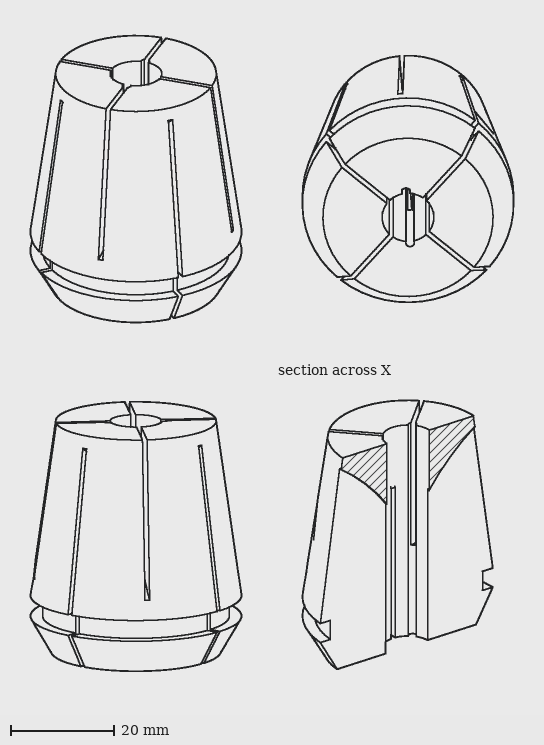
import cadquery as cq
import math

height = 46.0
max_radius = 20.5
top_radius = 15.6
nose_radius = 16.5

groove_radius = 18.12
groove_bottom = 7.0
groove_top = 11.15

bore_radius = 5.0
relief_radius = 0.85
relief_offset = 5.3
relief_angles = (135, 315)

slot_width = 0.9
slot_reach = 23.0
end_arc_sagitta = 0.65
nose_slot_outer_z = 43.5
nose_slot_inner_z = 32.75
top_slot_outer_z = 15.0
top_slot_inner_z = 19.85
slot_count = 4
slot_spacing = 360 / slot_count


def taper_radius(z):
    """Radius of the long taper at height z."""
    fraction = (z - groove_top) / (height - groove_top)
    return max_radius + fraction * (top_radius - max_radius)


def revolved_body():
    return (
        cq.Workplane("XZ")
        .polyline([
            (0, 0),
            (nose_radius, 0),
            (max_radius, groove_bottom),
            (groove_radius, groove_bottom),
            (groove_radius, groove_top),
            (max_radius, groove_top),
            (top_radius, height),
            (0, height),
        ])
        .close()
        .revolve(360, (0, 0), (0, 1))
    )


def slot_cutter(open_z, inner_z, outer_z):
    """Radial slot along +X, open at open_z, with a curved saw run-out at its closed end."""
    outer_r = taper_radius(outer_z)
    run = outer_r - bore_radius
    rise = outer_z - inner_z
    chord = math.hypot(run, rise)
    bow_z = math.copysign(end_arc_sagitta * run / chord, rise)
    bow_r = -end_arc_sagitta * abs(rise) / chord
    arc_middle = ((bore_radius + outer_r) / 2 + bow_r, (inner_z + outer_z) / 2 + bow_z)
    return (
        cq.Workplane("XZ")
        .moveTo(0, open_z)
        .lineTo(0, inner_z)
        .lineTo(bore_radius, inner_z)
        .threePointArc(arc_middle, (outer_r, outer_z))
        .lineTo(slot_reach, outer_z)
        .lineTo(slot_reach, open_z)
        .close()
        .extrude(slot_width / 2, both=True)
    )


def cut_slots(body, cutter, first_angle):
    for index in range(slot_count):
        angle = first_angle + index * slot_spacing
        body = body.cut(cutter.rotate((0, 0, 0), (0, 0, 1), angle))
    return body


def cut_bore(body):
    body = body.cut(cq.Workplane("XY").circle(bore_radius).extrude(height))
    for angle in relief_angles:
        x = relief_offset * math.cos(math.radians(angle))
        y = relief_offset * math.sin(math.radians(angle))
        body = body.cut(cq.Workplane("XY").center(x, y).circle(relief_radius).extrude(height))
    return body


collet = cut_bore(revolved_body())
nose_slot = slot_cutter(0, nose_slot_inner_z, nose_slot_outer_z)
collet = cut_slots(collet, nose_slot, 0)
top_slot = slot_cutter(height, top_slot_inner_z, top_slot_outer_z)
collet = cut_slots(collet, top_slot, slot_spacing / 2)
result = cq.Workplane("XY").newObject([collet.val()])